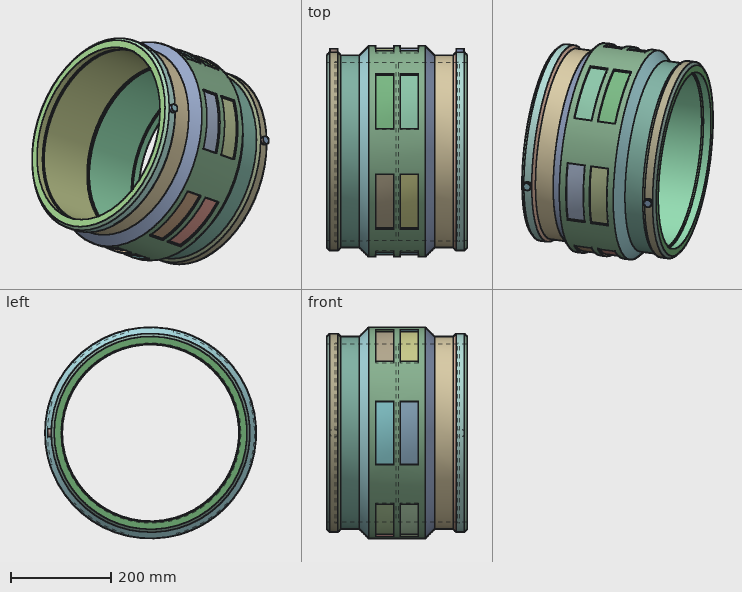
import cadquery as cq
import math

length = 280.0
half_length = length / 2
body_radius = 421 / 2
neck_radius = 384.0 / 2
rim_radius = 395.7 / 2
bore_radius = 355.0 / 2
rib_radius = 351.5 / 2

rim_width = 28.0
rim_bevel = rim_radius - neck_radius
body_length = 112.5
shoulder = body_radius - neck_radius

rib_width = 5.0
wire_diameter = 4.0
groove_offset = half_length - 17.5
groove_gap = 14.5

window_count = 6
window_angle = 35
window_depth = 4.0
window_width = 36.0
window_spacing = 49.0

stud_diameter = 16.0
stud_top = 204.5
stud_offset = half_length - rim_width / 2


def tube(start, width, outer, inner):
    """Ring about the X axis, beginning at x = start."""
    return (
        cq.Workplane("YZ", origin=(start, 0, 0))
        .circle(outer)
        .circle(inner)
        .extrude(width)
    )


def make_sleeve():
    """Revolve the symmetric outer profile around the plain bore."""
    body_end = body_length / 2
    neck_start = body_end + shoulder
    rim_start = half_length - rim_width
    right_side = [
        (body_end, body_radius),
        (neck_start, neck_radius),
        (rim_start, neck_radius),
        (rim_start + rim_bevel, rim_radius),
        (half_length - rim_bevel, rim_radius),
        (half_length, neck_radius),
        (half_length, bore_radius),
    ]
    left_side = [(-x, radius) for x, radius in reversed(right_side)]
    return (
        cq.Workplane("XY")
        .polyline(right_side + left_side)
        .close()
        .revolve(360, (0, 0, 0), (1, 0, 0))
    )


def add_stop_rib(part):
    """Leave a low ring at mid-length that limits how far each pipe enters."""
    rib_outer = (bore_radius + neck_radius) / 2
    return part.union(tube(-rib_width / 2, rib_width, rib_outer, rib_radius))


def cut_wire_grooves(part):
    """Half-round ring grooves in the bore, interrupted below the studs."""
    bridge_depth = 2 * wire_diameter
    for side in (-1, 1):
        center_x = side * groove_offset
        groove = (
            cq.Workplane("XY")
            .center(center_x, bore_radius)
            .circle(wire_diameter / 2)
            .revolve(360, (-center_x, -bore_radius, 0), (-center_x + 4, -bore_radius, 0))
        )
        bridge = (
            cq.Workplane("XY")
            .box(bridge_depth, bridge_depth, groove_gap)
            .translate((center_x, bore_radius, 0))
        )
        part = part.cut(groove.cut(bridge))
    return part


def make_window(center_x):
    """Cutter with radial ends and a cylindrical floor, centred on +Y."""
    start = center_x - window_width / 2
    ring = tube(start, window_width, body_radius + window_depth, body_radius - window_depth)
    reach = 2 * body_radius
    half_height = reach * math.tan(math.radians(window_angle / 2))
    wedge = (
        cq.Workplane("YZ", origin=(start, 0, 0))
        .polyline([(0, 0), (reach, half_height), (reach, -half_height)])
        .close()
        .extrude(window_width)
    )
    return ring.intersect(wedge)


def cut_windows(part):
    for side in (-1, 1):
        window = make_window(side * window_spacing / 2)
        for index in range(window_count):
            angle = index * 360 / window_count
            part = part.cut(window.rotate((0, 0, 0), (1, 0, 0), angle))
    return part


def add_studs(part):
    """Stand a short round stud on the +Y side of each rim, rooted in the wall."""
    for side in (-1, 1):
        stud = (
            cq.Workplane("XZ", origin=(side * stud_offset, stud_top, 0))
            .circle(stud_diameter / 2)
            .extrude(stud_top - neck_radius)
        )
        part = part.union(stud)
    return part


result = add_studs(cut_wire_grooves(add_stop_rib(cut_windows(make_sleeve()))))